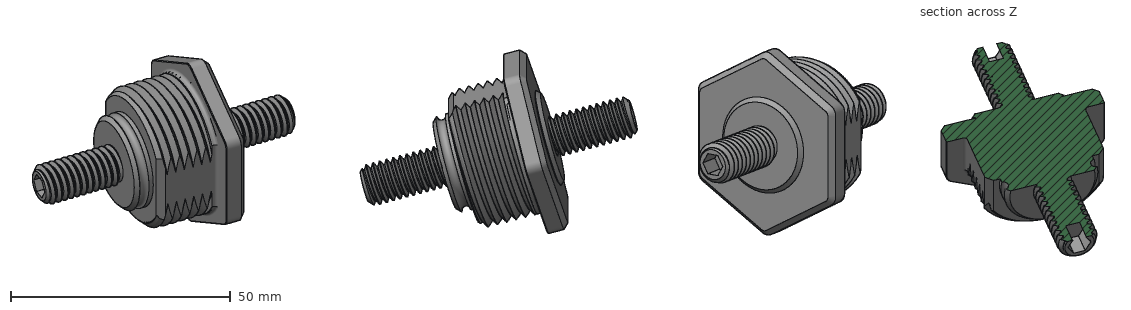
import cadquery as cq
import math

INCH = 25.4
OVERLAP = 0.05
THREAD_ANGLE = math.radians(60)
HEX_HALF_ANGLE = 30

hex_across_flats = 1.5 * INCH
hex_corner_radius = 0.1 * INCH
hex_back = 0.45 * INCH
hex_front = 0.25 * INCH
hex_back_chamfer = 0.05 * INCH
hex_front_chamfer = 0.2

body_radius = 16.65
body_front = -8.38
body_half_flats = 0.5 * 1.125 * INCH
body_chamfer = 1.6
body_thread_back = 5.05
body_fillet = 0.8
body_pitch = INCH / 11.5
body_thread_depth = 0.8 * body_pitch
body_crest_width = 0.033 * body_pitch
body_root_at_plus_x = 2.56

sleeve_radius = 11.3
sleeve_half_length = 0.5 * INCH
sleeve_chamfer = 1.05
sleeve_groove_radius = 1.12
sleeve_groove_offset = 10.6

stud_radius = 0.5 * 0.375 * INCH
stud_half_length = 1.25 * INCH
stud_pitch = INCH / 16
stud_thread_depth = 0.6 * stud_pitch
stud_crest_width = stud_pitch / 8
stud_chamfer = 1.25
stud_root_at_plus_x = -13.29

socket_across_flats = 0.1875 * INCH
socket_depth = socket_across_flats


def across_corners(across_flats):
    return across_flats / math.cos(math.radians(HEX_HALF_ANGLE))


def cross_section(y):
    """Workplane at height y whose normal is +Y, with local X along X and local Y along -Z."""
    return cq.Workplane(cq.Plane(origin=(0, y, 0), xDir=(1, 0, 0), normal=(0, 1, 0)))


def cylinder(radius, y_start, y_end):
    return cross_section(y_start).circle(radius).extrude(y_end - y_start)


def groove_turn(corners, pitch, root_at_plus_x):
    """One right-hand turn of a groove with the given (radius, height) section, starting on +X."""
    helices = [
        cq.Wire.makeHelix(pitch, pitch, radius, cq.Vector(0, 0, height))
        for radius, height in corners
    ]
    faces = []
    for index, helix in enumerate(helices):
        faces.extend(cq.Face.makeRuledSurface(helices[index - 1], helix).Faces())
    for end in (0, pitch):
        points = [cq.Vector(radius, 0, height + end) for radius, height in corners]
        faces.append(cq.Face.makeFromWires(cq.Wire.makePolygon(points, close=True)))
    turn = cq.Solid.makeSolid(cq.Shell.makeShell(faces)).fix()
    turn = turn.rotate(cq.Vector(0, 0, 0), cq.Vector(1, 0, 0), -90)
    return turn.translate(cq.Vector(0, root_at_plus_x, 0))


def cut_thread(rod, radius, depth, pitch, crest_width, y_start, y_end, root_at_plus_x):
    """Cut a right-hand V thread from y_start to y_end, with one root at the given Y on +X."""
    slope = math.tan(THREAD_ANGLE / 2)
    root_radius = radius - depth
    outer_radius = radius + OVERLAP
    root_half_width = (pitch - crest_width) / 2 - depth * slope
    outer_half_width = root_half_width + (outer_radius - root_radius) * slope
    corners = [
        (root_radius, -root_half_width),
        (outer_radius, -outer_half_width),
        (outer_radius, outer_half_width),
        (root_radius, root_half_width),
    ]
    first_turn = math.floor((y_start - root_at_plus_x) / pitch) - 1
    last_turn = math.ceil((y_end - root_at_plus_x) / pitch)
    turns = [
        groove_turn(corners, pitch, root_at_plus_x + turn * pitch)
        for turn in range(first_turn, last_turn + 1)
    ]
    return cq.Workplane(rod.val().cut(*turns))


def flats_slab(y_start, y_end):
    """Block that trims the body to its two flats."""
    return cross_section(y_start).rect(2 * body_half_flats, 4 * body_radius).extrude(y_end - y_start)


def make_flange():
    """Hexagon with corners up and down, and the filleted neck in front of it."""
    plate = (
        cross_section(hex_front)
        .polygon(6, across_corners(hex_across_flats))
        .extrude(hex_back - hex_front)
        .rotate((0, 0, 0), (0, 1, 0), HEX_HALF_ANGLE)
        .edges("|Y")
        .fillet(hex_corner_radius)
        .faces(">Y")
        .chamfer(hex_back_chamfer)
        .faces("<Y")
        .chamfer(hex_front_chamfer)
    )
    neck = cylinder(body_radius, body_thread_back, hex_back - hex_back_chamfer)
    neck = neck.intersect(flats_slab(body_thread_back, hex_back))
    root_box = cq.selectors.BoxSelector(
        (-body_radius - OVERLAP, hex_front - OVERLAP, -body_radius - OVERLAP),
        (body_radius + OVERLAP, hex_front + OVERLAP, body_radius + OVERLAP),
        boundingbox=True,
    )
    return plate.union(neck).edges(root_box).fillet(body_fillet)


def make_body():
    """Threaded barrel with flats and a chamfered front end."""
    barrel = cylinder(body_radius, body_front, body_thread_back).faces("<Y").chamfer(body_chamfer)
    slab = flats_slab(body_front, body_thread_back).faces("<Y").edges("|Z").chamfer(body_chamfer)
    threaded = cut_thread(
        barrel, body_radius, body_thread_depth, body_pitch, body_crest_width,
        body_front, body_thread_back, body_root_at_plus_x,
    )
    return threaded.intersect(slab)


def make_sleeve():
    """Chamfered cylinder with a round groove near each end."""
    sleeve = cylinder(sleeve_radius, -sleeve_half_length, sleeve_half_length)
    sleeve = sleeve.faces("<Y or >Y").chamfer(sleeve_chamfer)
    for y in (-sleeve_groove_offset, sleeve_groove_offset):
        ring = cq.Solid.makeTorus(
            sleeve_radius, sleeve_groove_radius, cq.Vector(0, y, 0), cq.Vector(0, 1, 0)
        )
        sleeve = sleeve.cut(cq.Workplane(ring))
    return sleeve


def make_socket():
    return (
        cross_section(-stud_half_length)
        .polygon(6, across_corners(socket_across_flats))
        .extrude(socket_depth)
    )


def make_front_stud():
    """Threaded stud from the sleeve face to a chamfered tip with a hexagon socket."""
    rod = cylinder(stud_radius, -stud_half_length, -sleeve_half_length).faces("<Y").chamfer(stud_chamfer)
    threaded = cut_thread(
        rod, stud_radius, stud_thread_depth, stud_pitch, stud_crest_width,
        -stud_half_length, -sleeve_half_length, stud_root_at_plus_x,
    )
    return threaded.cut(make_socket())


front_stud = make_front_stud()
back_stud = front_stud.rotate((0, 0, 0), (0, 0, 1), 180)

result = make_flange().union(make_body()).union(make_sleeve()).union(front_stud).union(back_stud)